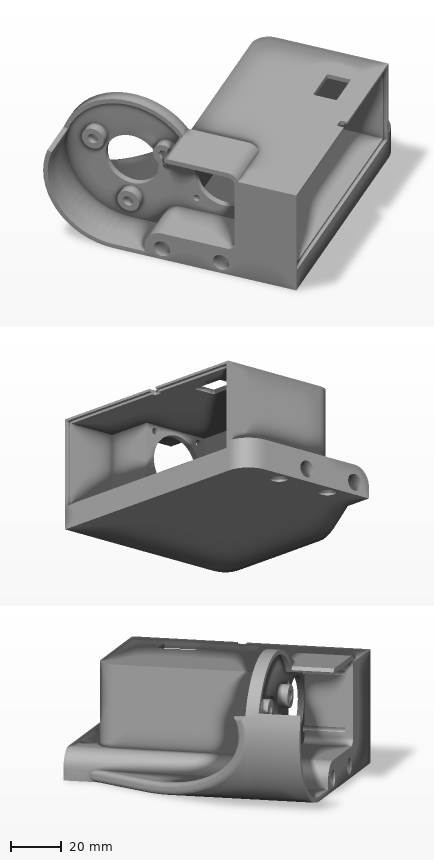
import cadquery as cq
import math

width = 108.1
length = 108.5
wall = 2.0

disc_radius = 30.0
disc_x = disc_radius
disc_z = disc_radius
disc_inner_radius = disc_radius - wall
ring_front = 17.3
plate_front = 20.0
plate_back = 22.6
ring_gap_start = 39.8
ring_gap_end = 160.0

pocket_right = 81.6
pocket_top = 47.0
pocket_corner = 3.0
hood_top = pocket_top + 2.2
hood_corner = pocket_corner + wall

center_hole_radius = 11.4
boss_count = 3
boss_circle_radius = 17.5
boss_radius = 4.7
boss_hole_radius = 2.2
boss_front = 15.8

window_x = 69.0
window_radius = 12.0
screw_offset = 11.5
screw_radius = 1.4
screw_groove_front = 3.4

base_left = 43.3
base_top = 12.5
base_round = 7.5
base_back_corner = 10.0
mount_hole_radius = 3.5
long_hole_xs = (base_left + base_round, 76.0)
long_hole_z = 5.1
flange_hole_xs = (60.5, 86.0)
flange_hole_y = 103.2

box_left = 52.5
box_back = 97.8
box_top = 46.0
box_corner = 7.5
compartment_left = 85.0
compartment_floor = long_hole_z + mount_hole_radius + wall
rebate_depth = 1.5
rebate_wall = 1.0

switch_x = 93.4
switch_y = 74.3
switch_width = 10.1
switch_length = 15.2
cutout_corner = 0.7
notch_y = 52.4
notch_width = 3.8
notch_depth = 3.0

gusset_thickness = 5.0
gusset_slope = 60.0
gusset_round = 2.0
gusset_end_angle = 162.0


def block(x0, x1, y0, y1, z0, z1):
    return cq.Workplane("XY").box(x1 - x0, y1 - y0, z1 - z0, centered=False).translate((x0, y0, z0))


def along_y(profile, y0, y1):
    """Extrude an XZ profile from y0 back to y1."""
    return profile.extrude(-(y1 - y0)).translate((0, y0, 0))


def rod_y(x, z, radius, y0, y1):
    return along_y(cq.Workplane("XZ").center(x, z).circle(radius), y0, y1)


def on_disc(radius, degrees):
    angle = math.radians(degrees)
    return (disc_x + radius * math.cos(angle), disc_z + radius * math.sin(angle))


def make_base():
    profile = (
        cq.Workplane("XZ")
        .moveTo(base_left, 0)
        .lineTo(width, 0)
        .lineTo(width, base_top)
        .lineTo(base_left + base_round, base_top)
        .radiusArc((base_left, base_top - base_round), -base_round)
        .close()
    )
    return along_y(profile, 0, length).edges("|Z and >X and >Y").fillet(base_back_corner)


def make_box():
    box = block(box_left, width, 0, box_back, base_top, box_top)
    return box.edges("|Z and <X and >Y").fillet(box_corner)


def make_housing():
    disc = rod_y(disc_x, disc_z, disc_radius, 0, plate_back)
    foot = block(disc_x, width, 0, plate_back, 0, base_top)
    hood = block(disc_x, pocket_right + wall, 0, plate_back, 0, hood_top)
    hood = hood.edges("|Y and >X and >Z").fillet(hood_corner)
    return disc.union(foot).union(hood)


def make_gusset():
    inner_radius = disc_radius - gusset_thickness
    right = base_left + wall
    middle_angle = (gusset_end_angle + 270) / 2
    profile = (
        cq.Workplane("XZ")
        .moveTo(right, 0)
        .lineTo(disc_x, 0)
        .threePointArc(on_disc(disc_radius, middle_angle), on_disc(disc_radius, gusset_end_angle))
        .lineTo(*on_disc(inner_radius, gusset_end_angle))
        .threePointArc(on_disc(inner_radius, middle_angle), (disc_x, gusset_thickness))
        .lineTo(right, gusset_thickness)
        .close()
    )
    slope = math.tan(math.radians(gusset_slope))
    keep = (
        cq.Workplane("XY")
        .moveTo(0, plate_front)
        .lineTo(0, plate_back)
        .lineTo(right, plate_back + right * slope)
        .lineTo(right, plate_front)
        .close()
        .extrude(disc_z * 2)
    )
    gusset = along_y(profile, plate_front, length).intersect(keep)
    slanted = cq.selectors.ParallelDirSelector(cq.Vector(-slope, 1, 0))
    return gusset.faces(slanted).edges("not >X").fillet(gusset_round)


def make_pocket():
    right_start = pocket_right - pocket_corner
    hood_reach = math.sqrt(disc_inner_radius**2 - (pocket_top - disc_z) ** 2)
    profile = (
        cq.Workplane("XZ")
        .moveTo(disc_x, wall)
        .lineTo(base_left, wall)
        .lineTo(base_left, base_top - base_round)
        .radiusArc((base_left + base_round, base_top), base_round)
        .lineTo(right_start, base_top)
        .radiusArc((pocket_right, base_top + pocket_corner), -pocket_corner)
        .lineTo(pocket_right, pocket_top - pocket_corner)
        .radiusArc((right_start, pocket_top), -pocket_corner)
        .lineTo(disc_x + hood_reach, pocket_top)
        .threePointArc(on_disc(disc_inner_radius, 180), (disc_x, wall))
        .close()
    )
    return along_y(profile, 0, plate_front)


def make_ring_gap():
    far = 2 * disc_radius
    profile = (
        cq.Workplane("XZ")
        .moveTo(disc_x, disc_z)
        .lineTo(*on_disc(far, ring_gap_start))
        .lineTo(*on_disc(far, 90))
        .lineTo(*on_disc(far, ring_gap_end))
        .close()
    )
    return along_y(profile, 0, ring_front)


def make_cavity():
    """Room behind the plate, compartment on its open +X side and rebate around the opening."""
    back = box_back - wall
    room = block(box_left + wall, width, plate_back, back, base_top, box_top - wall)
    room = room.edges("|Z and <X and >Y").fillet(box_corner - wall)
    compartment = block(compartment_left, width, wall, back, compartment_floor, box_top - wall)
    rebate = block(
        width - rebate_depth, width,
        rebate_wall, box_back - rebate_wall,
        compartment_floor - rebate_wall, box_top - rebate_wall,
    )
    return room.union(compartment).union(rebate)


def make_roof_cutouts():
    roof_bottom = box_top - 2 * wall
    switch = block(
        switch_x - switch_width / 2, switch_x + switch_width / 2,
        switch_y - switch_length / 2, switch_y + switch_length / 2,
        roof_bottom, box_top,
    ).edges("|Z").fillet(cutout_corner)
    notch = block(
        width - notch_depth, width,
        notch_y - notch_width / 2, notch_y + notch_width / 2,
        roof_bottom, box_top,
    ).edges("|Z and <X").fillet(cutout_corner)
    return switch.union(notch)


body = make_housing().union(make_base()).union(make_box())
body = body.cut(make_pocket()).cut(make_ring_gap()).cut(make_cavity()).cut(make_roof_cutouts())

body = body.cut(rod_y(disc_x, disc_z, center_hole_radius, plate_front, plate_back))
for index in range(boss_count):
    boss_x, boss_z = on_disc(boss_circle_radius, 30 + index * 360 / boss_count)
    body = body.union(rod_y(boss_x, boss_z, boss_radius, boss_front, plate_back))
    body = body.cut(rod_y(boss_x, boss_z, boss_hole_radius, boss_front, plate_back))

body = body.cut(rod_y(window_x, disc_z, window_radius, plate_front, plate_back))
for side_x in (-1, 1):
    for side_z in (-1, 1):
        screw_x = window_x + side_x * screw_offset
        screw_z = disc_z + side_z * screw_offset
        body = body.cut(rod_y(screw_x, screw_z, screw_radius, screw_groove_front, plate_back))

for hole_x in long_hole_xs:
    body = body.cut(rod_y(hole_x, long_hole_z, mount_hole_radius, 0, length))
for hole_x in flange_hole_xs:
    hole = cq.Workplane("XY").center(hole_x, flange_hole_y).circle(mount_hole_radius)
    body = body.cut(hole.extrude(base_top))

result = body.union(make_gusset(), clean=False)